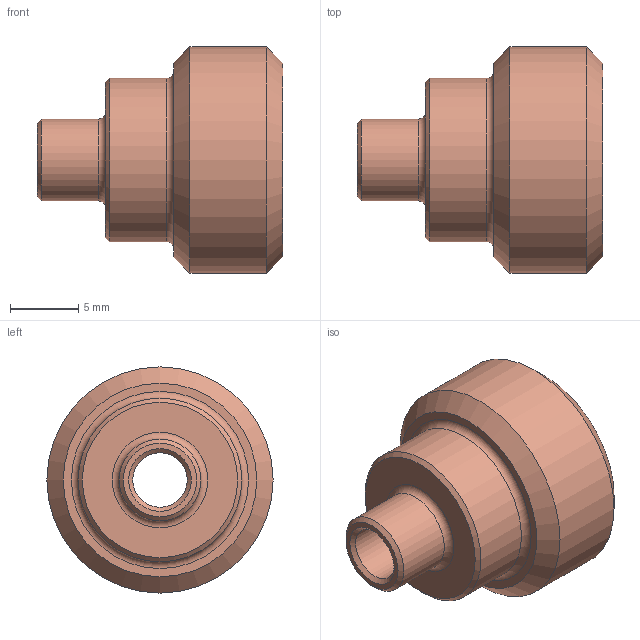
import cadquery as cq

nose_length = 5.0
shoulder_length = 5.0
head_length = 8.0

nose_diameter = 6.0
shoulder_diameter = 12.0
head_diameter = 16.6
bore_diameter = 4.0

edge_chamfer = 0.3
head_chamfer = 1.2
root_fillet = 0.5

shoulder_start = nose_length
head_start = shoulder_start + shoulder_length
total_length = head_start + head_length


def step(start, length, diameter):
    """Cylinder along +X beginning at the given axial position."""
    return cq.Workplane("YZ", origin=(start, 0, 0)).circle(diameter / 2).extrude(length)


def fillet_root(body, position, diameter):
    """Round the inside corner where a step of this diameter meets the face at this position."""
    radius = diameter / 2
    margin = root_fillet / 2
    corner = cq.selectors.BoxSelector(
        (position - margin, -radius - margin, -radius - margin),
        (position + margin, radius + margin, radius + margin),
        boundingbox=True,
    )
    return body.edges(corner).fillet(root_fillet)


nose = step(0, nose_length, nose_diameter).faces("<X").chamfer(edge_chamfer)
shoulder = step(shoulder_start, shoulder_length, shoulder_diameter).faces("<X").chamfer(edge_chamfer)
head = step(head_start, head_length, head_diameter).faces("<X or >X").chamfer(head_chamfer)
body = nose.union(shoulder).union(head)

body = fillet_root(body, shoulder_start, nose_diameter)
body = fillet_root(body, head_start, shoulder_diameter)

bore = step(0, total_length, bore_diameter)
bore_rim = cq.selectors.RadiusNthSelector(0)
result = body.cut(bore).faces("<X").edges(bore_rim).chamfer(edge_chamfer)